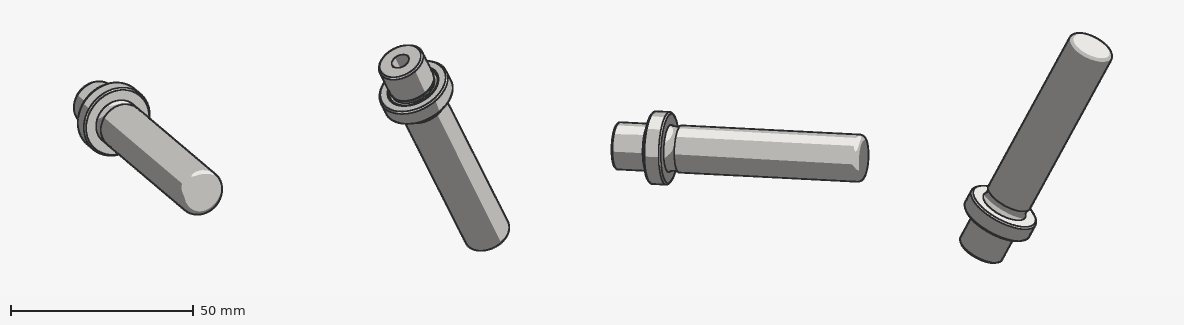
import cadquery as cq
import math

length = 70.0
collar_start = 10.0
collar_width = 5.0
collar_end = collar_start + collar_width

pin_radius = 6.5
collar_radius = 10.0
edge_chamfer = 0.5
tip_fillet = 1.5

relief_radius = 6.3
relief_start = 8.95
relief_slope_length = 0.4
face_relief_depth = 0.15
face_relief_inner_radius = 7.1
face_relief_outer_radius = 7.5

neck_width = 3.0
neck_depth = 0.4
neck_end = collar_end + neck_width

hole_radius = 2.5
hole_depth = 10.0
drill_point_angle = 118.0


def make_body():
    """Revolve the stepped outer profile around the X axis."""
    collar_shoulder = collar_radius - edge_chamfer
    face_relief = collar_start + face_relief_depth
    profile = (
        cq.Workplane("XY")
        .lineTo(0, pin_radius - edge_chamfer)
        .lineTo(edge_chamfer, pin_radius)
        .lineTo(relief_start, pin_radius)
        .lineTo(relief_start + relief_slope_length, relief_radius)
        .lineTo(face_relief, relief_radius)
        .lineTo(face_relief, face_relief_inner_radius)
        .lineTo(collar_start, face_relief_outer_radius)
        .lineTo(collar_start, collar_shoulder)
        .lineTo(collar_start + edge_chamfer, collar_radius)
        .lineTo(collar_end - edge_chamfer, collar_radius)
        .lineTo(collar_end, collar_shoulder)
        .lineTo(collar_end, pin_radius)
        .threePointArc((collar_end + neck_width / 2, pin_radius - neck_depth), (neck_end, pin_radius))
        .lineTo(length - tip_fillet, pin_radius)
        .radiusArc((length, pin_radius - tip_fillet), tip_fillet)
        .lineTo(length, 0)
        .close()
    )
    return profile.revolve(360, (0, 0, 0), (1, 0, 0))


def make_hole():
    """Revolve the hole and its conical bottom around the X axis."""
    point_length = hole_radius / math.tan(math.radians(drill_point_angle / 2))
    profile = (
        cq.Workplane("XY")
        .lineTo(0, hole_radius)
        .lineTo(hole_depth, hole_radius)
        .lineTo(hole_depth + point_length, 0)
        .close()
    )
    return profile.revolve(360, (0, 0, 0), (1, 0, 0))


result = make_body().cut(make_hole())